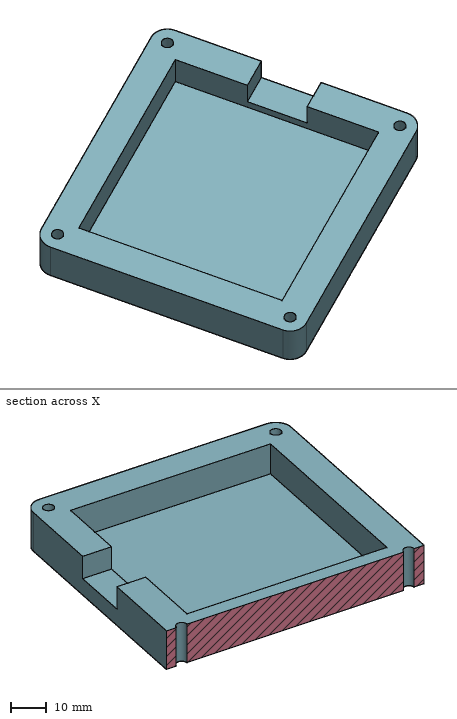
import cadquery as cq

width = 81.6
length = 84.7
height = 13.0
corner_radius = 5.0

wall = 9.5
pocket_width = width - 2 * wall
pocket_length = length - 2 * wall
floor_thickness = 3.0

notch_width = 18.4
notch_offset_x = 0.1
notch_depth = 7.45

hole_diameter = 3.4
hole_spacing_x = width - 2 * corner_radius
hole_spacing_y = length - 2 * corner_radius


def make_block():
    """Block resting on Z = 0 with rounded vertical edges."""
    block = cq.Workplane("XY").box(width, length, height, centered=(True, True, False))
    return block.edges("|Z").fillet(corner_radius)


def make_pocket():
    """Rectangular cavity, open at the top."""
    return (
        cq.Workplane("XY", origin=(0, 0, floor_thickness))
        .rect(pocket_width, pocket_length)
        .extrude(height - floor_thickness)
    )


def make_notch():
    """Slot from the pocket out through the +Y wall."""
    return (
        cq.Workplane("XY", origin=(notch_offset_x, length / 2 - wall / 2, height - notch_depth))
        .rect(notch_width, wall)
        .extrude(notch_depth)
    )


def make_screw_holes():
    """Four through holes, one in each corner."""
    return (
        cq.Workplane("XY")
        .rect(hole_spacing_x, hole_spacing_y, forConstruction=True)
        .vertices()
        .circle(hole_diameter / 2)
        .extrude(height)
    )


result = make_block().cut(make_pocket()).cut(make_notch()).cut(make_screw_holes())